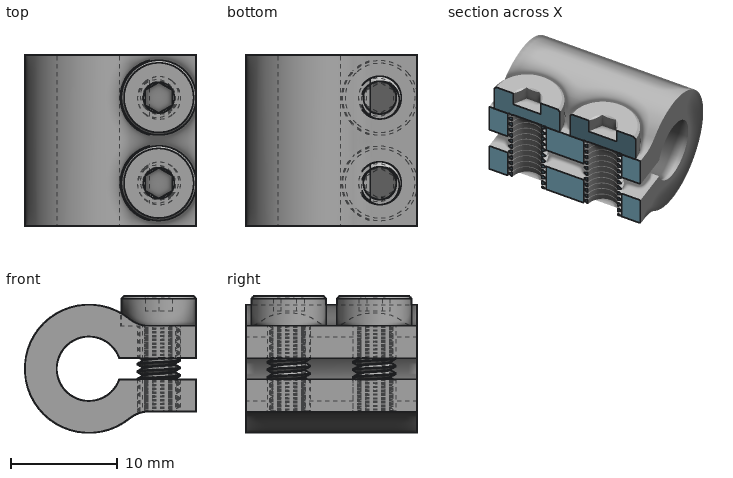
import cadquery as cq
import math

outer_length = 16.03
clamp_length = 16.0

barrel_radius = 12.0 / 2
bore_radius = 6.0 / 2
slot_gap = 2.0
lug_thickness = 3.0
neck_fillet = 3.0

lug_top = slot_gap / 2 + lug_thickness
lug_end = outer_length - barrel_radius

head_radius = 6.99 / 2
head_height = 2.8
head_chamfer = 0.24
hex_flats = 2.5
socket_depth = 1.4
socket_cone_depth = 0.1

thread_radius = 2.0
thread_pitch = 0.7
thread_depth = 0.43
thread_crest_width = 0.08
thread_flank_angle = 30.0
thread_start = 0.08
ridge_sink = 0.03

screw_x = lug_end - head_radius
screw_spacing = clamp_length / 2
screw_places = [(screw_x, side * screw_spacing / 2) for side in (-1, 1)]
shank_length = 2 * lug_top

head_clearance = 0.1


def rod(radius, bottom, height):
    """Upright cylinder on the Z axis."""
    return cq.Workplane("XY").workplane(offset=bottom).circle(radius).extrude(height)


def make_clamp():
    """Split barrel with two lugs, bored for the shaft and the screws."""
    fillet_x = math.sqrt((barrel_radius + neck_fillet) ** 2 - (lug_top + neck_fillet) ** 2)
    fillet_z = lug_top + neck_fillet
    to_tangent = barrel_radius / (barrel_radius + neck_fillet)
    tangent_x = fillet_x * to_tangent
    tangent_z = fillet_z * to_tangent
    fillet_turn = math.atan2(fillet_x, fillet_z) / 2
    mid_x = fillet_x - neck_fillet * math.sin(fillet_turn)
    mid_z = fillet_z - neck_fillet * math.cos(fillet_turn)

    clamp = (
        cq.Workplane("XZ", origin=(0, clamp_length / 2, 0))
        .moveTo(lug_end, lug_top)
        .lineTo(fillet_x, lug_top)
        .threePointArc((mid_x, mid_z), (tangent_x, tangent_z))
        .threePointArc((-barrel_radius, 0), (tangent_x, -tangent_z))
        .threePointArc((mid_x, -mid_z), (fillet_x, -lug_top))
        .lineTo(lug_end, -lug_top)
        .close()
        .extrude(clamp_length)
    )
    bore = cq.Workplane("XZ", origin=(0, clamp_length / 2, 0)).circle(bore_radius).extrude(clamp_length)
    slot = cq.Workplane("XY").box(lug_end, clamp_length, slot_gap, centered=(False, True, True))
    clamp = clamp.cut(bore).cut(slot)

    for x, y in screw_places:
        screw_hole = rod(thread_radius, -lug_top, shank_length)
        counterbore = rod(head_radius + head_clearance, lug_top, head_height)
        clamp = clamp.cut(screw_hole.translate((x, y, 0)))
        clamp = clamp.cut(counterbore.translate((x, y, 0)))
    return clamp


def make_head():
    """Chamfered cylinder with a countersunk hexagon socket, corners toward +Y and -Y."""
    head_top = lug_top + head_height
    corner_radius = hex_flats / math.sqrt(3)
    half_hex_turn = 360 / 6 / 2
    head = rod(head_radius, lug_top, head_height).faces(">Z").edges().chamfer(head_chamfer)
    socket = (
        cq.Workplane("XY")
        .workplane(offset=head_top - socket_depth)
        .polygon(6, 2 * corner_radius)
        .extrude(socket_depth)
        .rotate((0, 0, 0), (0, 0, 1), half_hex_turn)
    )
    countersink = (
        cq.Workplane("XY")
        .workplane(offset=head_top - socket_cone_depth)
        .circle(hex_flats / 2)
        .workplane(offset=socket_cone_depth)
        .circle(corner_radius)
        .loft()
    )
    return head.cut(socket).cut(countersink)


def make_shank():
    """Right-hand threaded rod: a core with a helical ridge, trimmed to the shank length."""
    core_radius = thread_radius - thread_depth
    root_radius = core_radius - ridge_sink
    root_half = (thread_crest_width / 2
                 + (thread_radius - root_radius) * math.tan(math.radians(thread_flank_angle)))
    turns = math.ceil(lug_top / thread_pitch) + 1
    start = thread_start - turns * thread_pitch
    path = cq.Wire.makeHelix(thread_pitch, 2 * turns * thread_pitch, core_radius).translate(
        cq.Vector(0, 0, start)
    )
    ridge = (
        cq.Workplane("XZ")
        .moveTo(root_radius, start - root_half)
        .lineTo(thread_radius, start - thread_crest_width / 2)
        .lineTo(thread_radius, start + thread_crest_width / 2)
        .lineTo(root_radius, start + root_half)
        .close()
        .sweep(cq.Workplane(path), isFrenet=True)
    )
    envelope = rod(2 * thread_radius, -lug_top, shank_length)
    return rod(core_radius, -lug_top, shank_length).union(ridge.intersect(envelope))


def make_screw():
    """Head and threaded shank as one solid, on the Z axis."""
    return make_head().union(make_shank()).solids()


clamp = make_clamp()
screw = make_screw()
screws = [screw.translate((x, y, 0)) for x, y in screw_places]

result = cq.Compound.makeCompound([clamp.val(), *[placed.val() for placed in screws]])